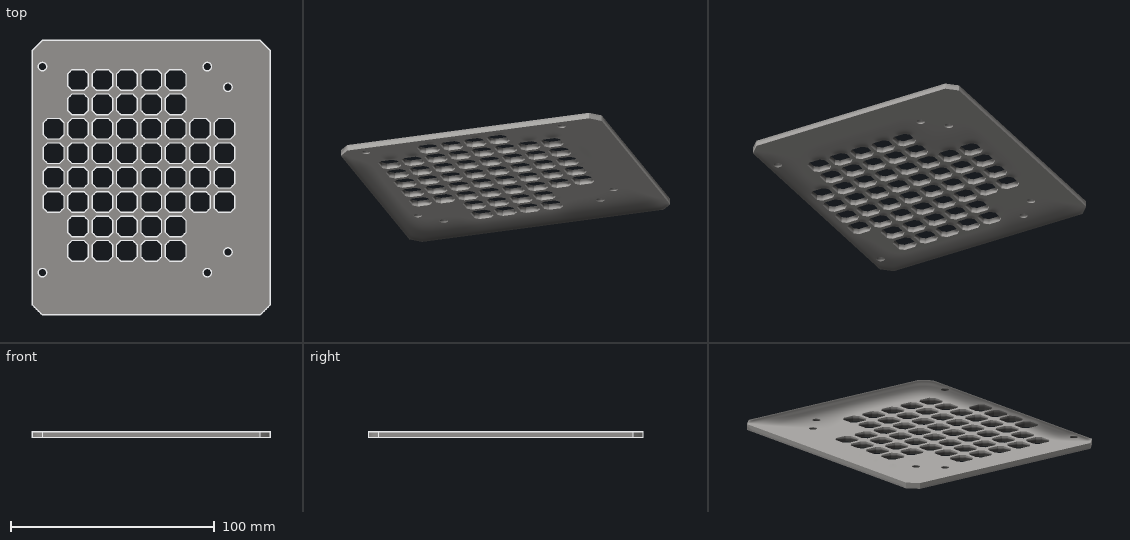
import cadquery as cq

plate_width = 117.0
plate_length = 135.0
plate_thickness = 3.0
corner_cut = 5.0

opening_size = 10.0
opening_corner_cut = 2.0
openings_per_side = 8
grid_span = 84.0
opening_pitch = grid_span / (openings_per_side - 1)
grid_center_x = -opening_pitch / 2
grid_center_y = opening_pitch / 2
end_row_count = 2
short_row_columns = range(1, 6)

hole_diameter = 4.0
hole_span = 81.0
hole_row_step = 10.1
hole_center_y = 3.9
left_hole_x = -53.5


def chamfered_plate():
    return (
        cq.Workplane("XY")
        .rect(plate_width, plate_length)
        .extrude(plate_thickness)
        .edges("|Z")
        .chamfer(corner_cut)
    )


def opening_centers():
    first_x = grid_center_x - grid_span / 2
    first_y = grid_center_y - grid_span / 2
    centers = []
    for row in range(openings_per_side):
        is_full_row = end_row_count <= row < openings_per_side - end_row_count
        columns = range(openings_per_side) if is_full_row else short_row_columns
        for column in columns:
            centers.append((first_x + column * opening_pitch, first_y + row * opening_pitch))
    return centers


def opening_cutters():
    return (
        cq.Workplane("XY")
        .pushPoints(opening_centers())
        .rect(opening_size, opening_size)
        .extrude(plate_thickness)
        .edges("|Z")
        .chamfer(opening_corner_cut)
    )


def mounting_hole_centers():
    inner_offset_y = hole_span / 2
    outer_offset_y = inner_offset_y + hole_row_step
    right_hole_x = left_hole_x + hole_span
    far_right_hole_x = right_hole_x + hole_row_step
    centers = []
    for side in (-1, 1):
        centers.append((left_hole_x, hole_center_y + side * outer_offset_y))
        centers.append((right_hole_x, hole_center_y + side * outer_offset_y))
        centers.append((far_right_hole_x, hole_center_y + side * inner_offset_y))
    return centers


def mounting_hole_cutters():
    return (
        cq.Workplane("XY")
        .pushPoints(mounting_hole_centers())
        .circle(hole_diameter / 2)
        .extrude(plate_thickness)
    )


result = chamfered_plate().cut(opening_cutters()).cut(mounting_hole_cutters())